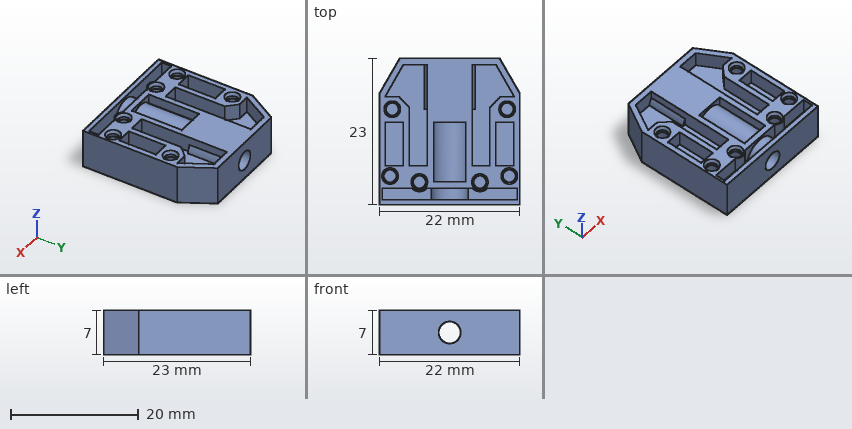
import cadquery as cq

length = 23.0
width = 22.0
height = 7.0
corner_width = 3.2
corner_length = 5.52
front = -length / 2
rear = length / 2
axis_height = height / 2

bore_diameter = 3.4
tube_diameter = 6.0
rear_tube_diameter = 8.1
rear_tube_length = 8.0

pocket_depth = 2.8
rib = 0.95
centre_pocket_width = 5.0
centre_pocket_front = front + 3.63
pocket_rear = front + 12.95
pocket_front = front + 6.12
side_pocket_width = 2.8

wing_inner = 3.5
wing_elbow = wing_inner + side_pocket_width
wing_rear = rear - 1.05
wing_rear_outer = 7.27
wing_step = rear - 6.03
wing_step_outer = 10.1
wing_step_inner = 7.98
wing_elbow_y = rear - 7.73

slot_width = 21.15
slot_front = front + 0.85
slot_rear = front + 2.62

hole_mouth_diameter = 2.55
hole_neck_diameter = 1.95
hole_diameter = 2.15
hole_countersink_depth = 0.55
hole_neck_end_depth = 1.1
hole_depth = pocket_depth
boss_diameter = 3.0
boss_hole = (4.74, front + 3.59)
front_corner_hole = (9.34, front + 4.53)
rear_corner_hole = (9.0, front + 15.0)
hole_places = [boss_hole, front_corner_hole, rear_corner_hole]


def box_pocket(x_start, x_end, y_start, y_end):
    """Rectangular cutter reaching from the pocket floor to the top face."""
    size_x = x_end - x_start
    size_y = y_end - y_start
    corner = (x_start, y_start, height - pocket_depth)
    return cq.Workplane("XY").box(size_x, size_y, pocket_depth, centered=False).translate(corner)


def round_bar(diameter, y_start, y_end):
    """Solid round bar along Y on the bore axis."""
    start = cq.Workplane("XZ", origin=(0, y_start, axis_height))
    return start.circle(diameter / 2).extrude(y_start - y_end)


def wing_pocket():
    """Rear pocket with a long front leg, narrowed by the flank of the rear tube."""
    outline = [
        (wing_inner, pocket_front),
        (wing_elbow, pocket_front),
        (wing_elbow, wing_elbow_y),
        (wing_step_inner, wing_step),
        (wing_step_outer, wing_step),
        (wing_rear_outer, wing_rear),
        (wing_inner, wing_rear),
    ]
    floor = cq.Workplane("XY", origin=(0, 0, height - pocket_depth))
    pocket = floor.polyline(outline).close().extrude(pocket_depth)
    return pocket.cut(round_bar(rear_tube_diameter, rear - rear_tube_length, rear))


def pin_hole(x, y):
    """Blind hole with a countersunk mouth and a short narrower neck."""
    profile = [
        (0, height),
        (hole_mouth_diameter / 2, height),
        (hole_neck_diameter / 2, height - hole_countersink_depth),
        (hole_neck_diameter / 2, height - hole_neck_end_depth),
        (hole_diameter / 2, height - hole_neck_end_depth),
        (hole_diameter / 2, height - hole_depth),
        (0, height - hole_depth),
    ]
    hole = cq.Workplane("XZ").polyline(profile).close().revolve(360, (0, 0), (0, 1))
    return hole.translate((x, y, 0))


def boss(x, y):
    """Round post kept around a pin hole."""
    return cq.Workplane("XY").center(x, y).circle(boss_diameter / 2).extrude(height)


def both_sides(shape):
    """The shape together with its mirror image across X = 0."""
    return shape.union(shape.mirror("YZ"))


half_width = width / 2
block_outline = [
    (-half_width, front),
    (half_width, front),
    (half_width, rear - corner_length),
    (half_width - corner_width, rear),
    (-half_width + corner_width, rear),
    (-half_width, rear - corner_length),
]
result = cq.Workplane("XY").polyline(block_outline).close().extrude(height)

half_pocket = centre_pocket_width / 2
centre_pocket = box_pocket(-half_pocket, half_pocket, centre_pocket_front, pocket_rear)
half_slot = slot_width / 2
cross_slot = box_pocket(-half_slot, half_slot, slot_front, slot_rear)
cross_slot = cross_slot.cut(both_sides(boss(*boss_hole)))
result = result.cut(centre_pocket.union(cross_slot).cut(round_bar(tube_diameter, front, pocket_rear)))

side_pocket_inner = wing_elbow + rib
side_pocket_outer = side_pocket_inner + side_pocket_width
side_pocket = box_pocket(side_pocket_inner, side_pocket_outer, pocket_front, pocket_rear)
result = result.cut(both_sides(side_pocket)).cut(both_sides(wing_pocket()))

for x, y in hole_places:
    result = result.cut(both_sides(pin_hole(x, y)))

result = result.cut(round_bar(bore_diameter, front, rear))